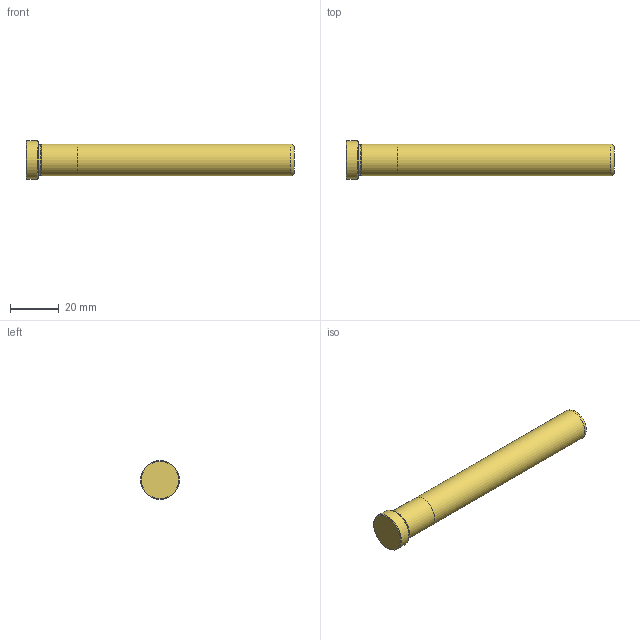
import cadquery as cq
import math


overall_length = 110.0
head_diameter = 16.0
head_thickness = 5.0
head_chamfer = 0.3
shank_diameter = 13.0
fit_length = 16.0
undercut_width = 1.4
undercut_depth = 0.3
undercut_fillet = 0.2
tip_length = 1.6
tip_radius = 1.7

head_radius = head_diameter / 2
shank_radius = shank_diameter / 2
undercut_radius = shank_radius - undercut_depth
undercut_end = head_thickness + undercut_width
undercut_slope_start = undercut_end - undercut_depth
undercut_fillet_inset = undercut_fillet * (1 - math.cos(math.radians(45)))
fit_end = head_thickness + fit_length
tip_start = overall_length - tip_length


def tip_arc_radius_at(x):
    """Distance from the axis to the rounded tip, whose arc is tangent to the shank."""
    run = x - tip_start
    return shank_radius - tip_radius + math.sqrt(tip_radius**2 - run**2)


def half_profile():
    """Closed outline of the pin above its axis."""
    tip_middle = tip_start + tip_length / 2
    return (
        cq.Workplane("XZ")
        .moveTo(0, 0)
        .lineTo(0, head_radius - head_chamfer)
        .lineTo(head_chamfer, head_radius)
        .lineTo(head_thickness - head_chamfer, head_radius)
        .lineTo(head_thickness, head_radius - head_chamfer)
        .lineTo(head_thickness, undercut_radius + undercut_fillet)
        .threePointArc(
            (head_thickness + undercut_fillet_inset, undercut_radius + undercut_fillet_inset),
            (head_thickness + undercut_fillet, undercut_radius),
        )
        .lineTo(undercut_slope_start, undercut_radius)
        .lineTo(undercut_end, shank_radius)
        .lineTo(fit_end, shank_radius)
        .lineTo(tip_start, shank_radius)
        .threePointArc(
            (tip_middle, tip_arc_radius_at(tip_middle)),
            (overall_length, tip_arc_radius_at(overall_length)),
        )
        .lineTo(overall_length, 0)
        .close()
    )


result = half_profile().revolve(360, (0, 0, 0), (1, 0, 0), clean=False)